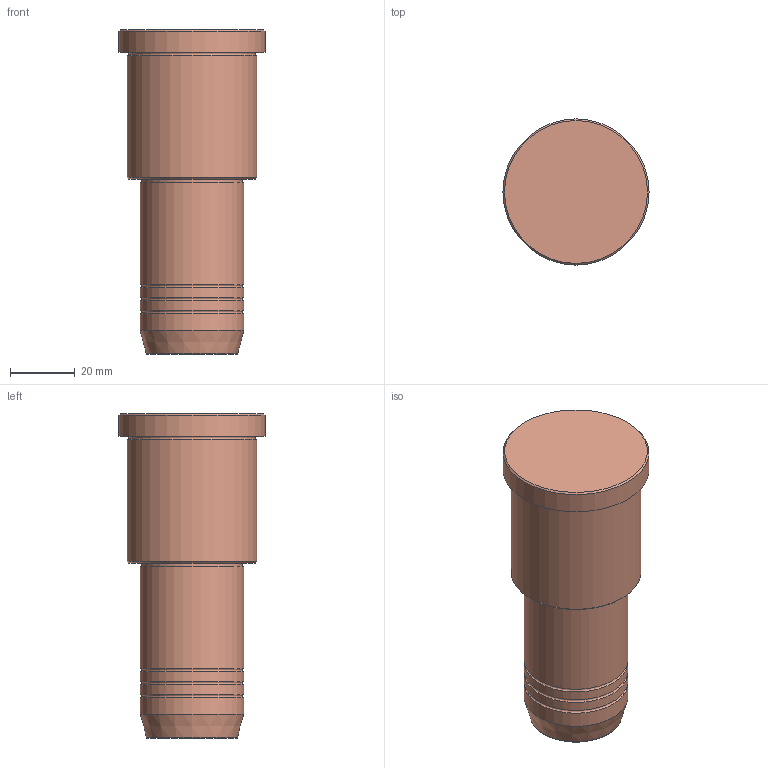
import cadquery as cq
import math

total_length = 100.0
head_diameter = 45.0
head_thickness = 7.0
body_diameter = 40.0
shoulder_height = 54.0
shank_diameter = 32.0
edge_chamfer = 0.5

taper_length = 7.5
taper_angle = 15.0
tip_fillet = 0.5

relief_width = 1.0
relief_depth = 0.5

groove_radius = 0.5
groove_count = 3
groove_pitch = 4.0
first_groove_center = 13.0

head_bottom = total_length - head_thickness


def cylinder(diameter, bottom, top):
    return cq.Workplane("XY").workplane(offset=bottom).circle(diameter / 2).extrude(top - bottom)


def groove_cutter(diameter, center_height):
    """Ring of round section, centered on the surface of a cylinder of the given diameter."""
    section = cq.Workplane("XZ").center(diameter / 2, center_height).circle(groove_radius)
    return section.revolve(360, (-diameter / 2, 0), (-diameter / 2, 1))


def make_head():
    return cylinder(head_diameter, head_bottom, total_length).faces(">Z").chamfer(edge_chamfer)


def make_body():
    body = cylinder(body_diameter, shoulder_height, head_bottom)
    body = body.faces("<Z").chamfer(edge_chamfer)
    return body.cut(groove_cutter(body_diameter, head_bottom - groove_radius))


def make_shank():
    relief_bottom = shoulder_height - relief_width
    shank = cylinder(shank_diameter, taper_length, relief_bottom)
    for index in range(groove_count):
        groove_center = first_groove_center + index * groove_pitch
        shank = shank.cut(groove_cutter(shank_diameter, groove_center))
    neck = cylinder(shank_diameter - 2 * relief_depth, relief_bottom, shoulder_height)
    return shank.union(neck)


def make_tip():
    shank_radius = shank_diameter / 2
    tip_radius = shank_radius - taper_length * math.tan(math.radians(taper_angle))
    outline = [(0, 0), (tip_radius, 0), (shank_radius, taper_length), (0, taper_length)]
    tip = cq.Workplane("XZ").polyline(outline).close().revolve(360, (0, 0), (0, 1))
    return tip.faces("<Z").edges().fillet(tip_fillet)


result = make_head().union(make_body()).union(make_shank()).union(make_tip())